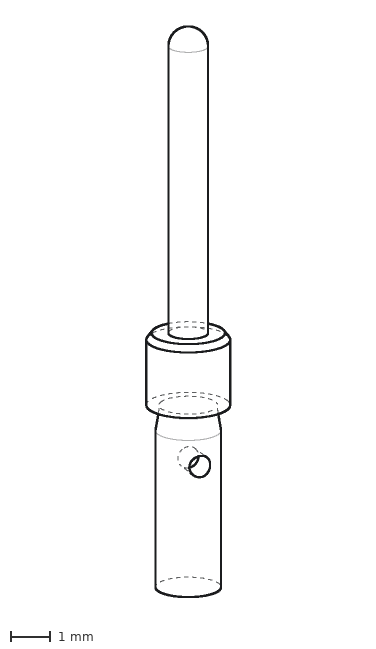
import cadquery as cq
import math

total_length = 14.8
barrel_top = 4.15
neck_bottom = 4.68
collar_bottom = 4.81
collar_top = 6.72

pin_diameter = 1.0
collar_diameter = 2.12
neck_diameter = 1.48
barrel_diameter = 1.66

chamfer_width = 0.13
chamfer_height = 0.18

hole_diameter = 0.56
hole_height = 3.43

pin_radius = pin_diameter / 2
collar_radius = collar_diameter / 2
neck_radius = neck_diameter / 2
barrel_radius = barrel_diameter / 2


def make_turned_body():
    """Revolve the half outline (radius, height) about Z."""
    dome_base = total_length - pin_radius
    dome_mid = (
        pin_radius * math.cos(math.pi / 4),
        dome_base + pin_radius * math.sin(math.pi / 4),
    )
    outline = (
        cq.Workplane("XZ")
        .moveTo(0, 0)
        .lineTo(barrel_radius, 0)
        .lineTo(barrel_radius, barrel_top)
        .lineTo(neck_radius, neck_bottom)
        .lineTo(neck_radius, collar_bottom)
        .lineTo(collar_radius, collar_bottom)
        .lineTo(collar_radius, collar_top - chamfer_height)
        .lineTo(collar_radius - chamfer_width, collar_top)
        .lineTo(pin_radius, collar_top)
        .lineTo(pin_radius, dome_base)
        .threePointArc(dome_mid, (0, total_length))
        .close()
    )
    return outline.revolve(360, (0, 0, 0), (0, 1, 0))


def make_inspection_hole():
    """Cylinder along +X from the axis, running past the barrel surface."""
    return (
        cq.Workplane("YZ")
        .center(0, hole_height)
        .circle(hole_diameter / 2)
        .extrude(barrel_diameter)
    )


result = make_turned_body().cut(make_inspection_hole())